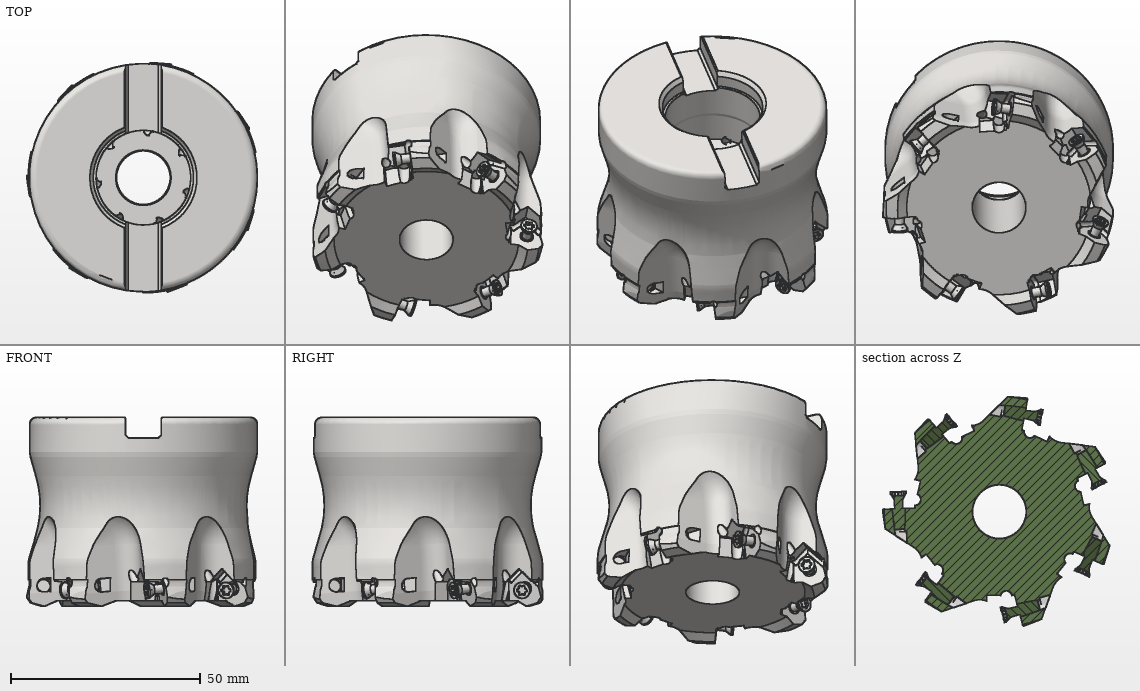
import cadquery as cq
import math


TOOTH_COUNT = 7
TOOTH_PITCH = 360 / TOOTH_COUNT
HEIGHT = 50.0
OUTSIDE = 18.3

COLLAR_RADIUS = 30.15
RIM_FILLET = 1.95
COLLAR_BOTTOM_Z = 40.8
COLLAR_EDGE_RADIUS, COLLAR_EDGE_Z = 29.9, 39.45
NECK_TOP_RADIUS, NECK_TOP_Z = 28.5, 34.5
NECK_RADIUS, NECK_Z = 27.35, 26.85
NECK_END_RADIUS, NECK_END_Z = 28.0, 20.7
FLARE_RADIUS, FLARE_Z = 30.3, 12.65
BAND_RADIUS, BAND_TOP_Z = 30.45, 10.2
BAND_BOTTOM_Z = 7.0
SHOULDER_ARC_RADIUS = 9.15
GROOVE_RADIUS, GROOVE_BOTTOM_Z = 30.2, 5.25
SKIRT_TOP_RADIUS, SKIRT_TOP_Z = 30.35, 4.8
SKIRT_RADIUS, SKIRT_Z = 30.9, 2.45
TOE_RADIUS, TOE_Z = 29.85, 0.9
FOOT_RADIUS = 26.85
UNDERSIDE_RADIUS, UNDERSIDE_Z = 24.4, 1.45

ENTRY_RADIUS, ENTRY_BOTTOM_Z = 13.25, 45.55
ENTRY_CHAMFER, ENTRY_CHAMFER_DEPTH = 0.9, 1.2
BORE_RADIUS = 12.5
BORE_RELIEF_RADIUS = 12.75
BORE_RELIEF_Z = 36.9
BORE_RELIEF_TAPER = 0.9
BORE_FLOOR_Z = 28.1
THROUGH_RADIUS = 7.1
THROUGH_CHAMFER = 0.25

SLOT_WIDTH = 9.35
SLOT_DEPTH = 5.5
SLOT_FLOOR_CHAMFER = 0.75
SLOT_EDGE_CHAMFER = 0.35

FLUTE_TURN = -TOOTH_PITCH
GULLET_RADIUS = 5.0
GULLET_X, GULLET_Y = 18.9, -22.7
BACK_WALL_ANGLE = 70.0
FRONT_WALL_ANGLE = 24.0
FLUTE_TILT = 4.5
FLUTE_RUNOUT_Z = 16.2
FLUTE_RUNOUT_RADIUS = 11.0
FLUTE_RUNOUT_SWEEP = 60.0
FLUTE_FOOT_LENGTH = 12.4
FLUTE_FOOT_TILT = 8.0
FLUTE_FOOT_LEAN = 5.0

SEAT_CENTRE = (5.0, -26.15, 4.7)
SEAT_AXIS = (1.0, 0.27, 0.12)
SEAT_OUTER_WALL = 3.8
SEAT_INNER_WALL = 4.5
SEAT_SIDE_WALL = 4.3
SEAT_LENGTH = 11.0
CORNER_GROOVE_RADIUS = 0.9
CHIP_RELIEF_RADIUS = 1.5
CHIP_RELIEF_X, CHIP_RELIEF_Y = 1.85, -22.5
CHIP_RELIEF_TOP_Z = 7.15
SIDE_WALL_TOP_Y, SIDE_WALL_TOP_Z = -22.8, 6.5
SIDE_WALL_LEAN = 14.0
SIDE_WALL_MOUTH_Y = -27.5
SIDE_WALL_START_X, SIDE_WALL_END_X = -3.3, 3.65

CLEARANCE_ANGLE = -69.0
CLEARANCE_DISTANCE = 30.5

COOLANT_RADIUS = 1.15
COOLANT_START = (-6.65, -10.25, 28.4)
COOLANT_END = (-2.15, -25.5, 5.6)

HEAD_RADIUS = 2.15
HEAD_REACH = 4.45
HEAD_RIM = 0.5
HEAD_TAPER = 1.5
SHANK_RADIUS = 1.3
THREAD_RADIUS = 1.8
THREAD_LENGTH = 5.5
SCREW_HOLE_LENGTH = 11.0
EXIT_WINDOW_DEPTH = 6.1
SOCKET_RADIUS = 1.05
SOCKET_LOBE_RADIUS = 0.35
SOCKET_LOBES = 6
SOCKET_DEPTH = 1.1


def around_axis(shape, index):
    return shape.rotate((0, 0, 0), (0, 0, 1), index * TOOTH_PITCH)


def make_blank():
    """Solid of revolution with the outer profile of the housing."""
    return (
        cq.Workplane("XZ")
        .moveTo(0, HEIGHT)
        .lineTo(COLLAR_RADIUS - RIM_FILLET, HEIGHT)
        .radiusArc((COLLAR_RADIUS, HEIGHT - RIM_FILLET), RIM_FILLET)
        .lineTo(COLLAR_RADIUS, COLLAR_BOTTOM_Z)
        .lineTo(COLLAR_EDGE_RADIUS, COLLAR_EDGE_Z)
        .lineTo(NECK_TOP_RADIUS, NECK_TOP_Z)
        .threePointArc((NECK_RADIUS, NECK_Z), (NECK_END_RADIUS, NECK_END_Z))
        .lineTo(FLARE_RADIUS, FLARE_Z)
        .radiusArc((BAND_RADIUS, BAND_TOP_Z), SHOULDER_ARC_RADIUS)
        .lineTo(BAND_RADIUS, BAND_BOTTOM_Z)
        .lineTo(GROOVE_RADIUS, BAND_BOTTOM_Z)
        .lineTo(GROOVE_RADIUS, GROOVE_BOTTOM_Z)
        .lineTo(SKIRT_TOP_RADIUS, SKIRT_TOP_Z)
        .lineTo(SKIRT_RADIUS, SKIRT_Z)
        .lineTo(TOE_RADIUS, TOE_Z)
        .lineTo(FOOT_RADIUS, 0)
        .lineTo(UNDERSIDE_RADIUS, UNDERSIDE_Z)
        .lineTo(0, UNDERSIDE_Z)
        .close()
        .revolve(360, (0, 0, 0), (0, 1, 0))
    )


def make_bore():
    """Stepped bore: chamfered entry, guiding bore, relief and through hole."""
    return (
        cq.Workplane("XZ")
        .moveTo(0, HEIGHT)
        .lineTo(ENTRY_RADIUS + ENTRY_CHAMFER, HEIGHT)
        .lineTo(ENTRY_RADIUS, HEIGHT - ENTRY_CHAMFER_DEPTH)
        .lineTo(ENTRY_RADIUS, ENTRY_BOTTOM_Z)
        .lineTo(BORE_RADIUS, ENTRY_BOTTOM_Z)
        .lineTo(BORE_RADIUS, BORE_RELIEF_Z)
        .lineTo(BORE_RELIEF_RADIUS, BORE_RELIEF_Z - BORE_RELIEF_TAPER)
        .lineTo(BORE_RELIEF_RADIUS, BORE_FLOOR_Z)
        .lineTo(THROUGH_RADIUS + THROUGH_CHAMFER, BORE_FLOOR_Z)
        .lineTo(THROUGH_RADIUS, BORE_FLOOR_Z - THROUGH_CHAMFER)
        .lineTo(THROUGH_RADIUS, 0)
        .lineTo(0, 0)
        .close()
        .revolve(360, (0, 0, 0), (0, 1, 0))
    )


def make_slot():
    """Driving slot along Y with chamfered floor corners and top edges."""
    half = SLOT_WIDTH / 2
    floor_z = HEIGHT - SLOT_DEPTH
    right_side = [
        (half - SLOT_FLOOR_CHAMFER, floor_z),
        (half, floor_z + SLOT_FLOOR_CHAMFER),
        (half, HEIGHT - SLOT_EDGE_CHAMFER),
        (half + SLOT_EDGE_CHAMFER, HEIGHT),
    ]
    left_side = [(-x, z) for x, z in reversed(right_side)]
    slot_length = 2 * (COLLAR_RADIUS + OUTSIDE)
    return cq.Workplane("XZ").polyline(right_side + left_side).close().extrude(slot_length / 2, both=True)


def flute_section(plane, open_y):
    """Cross-section of a flute around the gullet centre, open toward its local -Y."""
    back = math.radians(BACK_WALL_ANGLE)
    front = math.radians(FRONT_WALL_ANGLE)
    back_tangent = (-GULLET_RADIUS * math.sin(back), GULLET_RADIUS * math.cos(back))
    front_tangent = (GULLET_RADIUS * math.sin(front), GULLET_RADIUS * math.cos(front))
    back_x = back_tangent[0] - (back_tangent[1] - open_y) / math.tan(back)
    front_length = GULLET_RADIUS
    front_end = (
        front_tangent[0] + front_length * math.cos(front),
        front_tangent[1] - front_length * math.sin(front),
    )
    return (
        cq.Workplane(plane)
        .moveTo(back_x, open_y)
        .lineTo(*back_tangent)
        .threePointArc((0, GULLET_RADIUS), front_tangent)
        .lineTo(*front_end)
        .lineTo(front_end[0], open_y)
        .close()
    )


def make_flute():
    """Cutting shape of one flute: straight stretch, curved run-out above it, steeper foot below it."""
    tilt = math.radians(FLUTE_TILT)
    foot_tilt = math.tan(math.radians(FLUTE_FOOT_TILT))
    foot_lean = math.tan(math.radians(FLUTE_FOOT_LEAN))
    up = cq.Vector(0, -math.sin(tilt), math.cos(tilt))
    top = cq.Vector(GULLET_X, GULLET_Y, FLUTE_RUNOUT_Z)
    foot = top - up * FLUTE_FOOT_LENGTH
    straight = flute_section(cq.Plane(top, (1, 0, 0), up), -OUTSIDE).extrude(-FLUTE_FOOT_LENGTH)
    pivot_y = GULLET_RADIUS - FLUTE_RUNOUT_RADIUS
    run_out = flute_section(cq.Plane(top, (1, 0, 0), up), pivot_y).revolve(
        FLUTE_RUNOUT_SWEEP, (0, pivot_y, 0), (1, pivot_y, 0)
    )
    foot_up = cq.Vector(foot_lean, -foot_tilt, 1)
    bottom = foot - foot_up * (foot.z + 0.6)
    path = cq.Workplane(cq.Plane.XY()).polyline([foot.toTuple(), bottom.toTuple()])
    lower = flute_section(cq.Plane(foot, (1, 0, 0), up), -OUTSIDE).sweep(path)
    return straight.union(run_out).union(lower).rotate((0, 0, 0), (0, 0, 1), FLUTE_TURN)


def seat_plane():
    """Plane of the seat: local X points outward, local Y upward, the normal out of the seat."""
    normal = cq.Vector(*SEAT_AXIS) * -1
    outward = cq.Vector(0, 0, 1).cross(normal)
    return cq.Plane(SEAT_CENTRE, outward, normal)


def seat_corners():
    """Corners of the pocket's upper walls in the seat plane: inner side, apex and far outer end."""
    outer_offset = SEAT_OUTER_WALL * math.sqrt(2)
    inner_offset = SEAT_INNER_WALL * math.sqrt(2)
    side_top = (-SEAT_SIDE_WALL, inner_offset - SEAT_SIDE_WALL)
    apex = ((outer_offset - inner_offset) / 2, (outer_offset + inner_offset) / 2)
    outer_end = (OUTSIDE, outer_offset - OUTSIDE)
    return side_top, apex, outer_end


def make_seat():
    """Pocket for a square insert standing on its corner, open below and outward."""
    side_top, apex, outer_end = seat_corners()
    side_bottom = (-SEAT_SIDE_WALL, outer_end[1])
    corners = [side_top, apex, outer_end, side_bottom]
    return cq.Workplane(seat_plane()).polyline(corners).close().extrude(SEAT_LENGTH)


def make_side_wall():
    """Opening below the pocket whose inner wall leans inward toward the bottom."""
    bottom_y = SIDE_WALL_TOP_Y + SIDE_WALL_TOP_Z * math.tan(math.radians(SIDE_WALL_LEAN))
    corners = [
        (SIDE_WALL_TOP_Y, SIDE_WALL_TOP_Z),
        (bottom_y, 0),
        (SIDE_WALL_MOUTH_Y, 0),
        (SIDE_WALL_MOUTH_Y, SIDE_WALL_TOP_Z),
    ]
    opening = cq.Workplane("YZ").polyline(corners).close().extrude(SIDE_WALL_END_X - SIDE_WALL_START_X)
    return opening.translate((SIDE_WALL_START_X, 0, 0))


def make_corner_grooves():
    """Relief grooves along the lines where the two upper walls of the pocket meet the seat."""
    plane = seat_plane()
    side_top, apex, outer_end = [plane.toWorldCoords(corner) for corner in seat_corners()]
    grooves = cq.Workplane(cq.Solid.makeSphere(CORNER_GROOVE_RADIUS, apex, angleDegrees1=-90))
    for end in (side_top, outer_end):
        run = end - apex
        groove = cq.Solid.makeCylinder(CORNER_GROOVE_RADIUS, run.Length, apex, run)
        grooves = grooves.union(cq.Workplane(groove))
    return grooves


def make_chip_relief():
    """Upright round relief between the inner wall and the seat."""
    return (
        cq.Workplane("XY")
        .center(CHIP_RELIEF_X, CHIP_RELIEF_Y)
        .circle(CHIP_RELIEF_RADIUS)
        .extrude(CHIP_RELIEF_TOP_Z)
    )


def make_clearance():
    """Flat that takes the skirt down behind the seat, away from the cutting edge."""
    return (
        cq.Workplane("XY")
        .center(CLEARANCE_DISTANCE + OUTSIDE / 2, 0)
        .rect(OUTSIDE, OUTSIDE)
        .extrude(SKIRT_TOP_Z)
        .rotate((0, 0, 0), (0, 0, 1), CLEARANCE_ANGLE)
    )


def make_coolant_passage():
    start = cq.Vector(*COOLANT_START)
    run = cq.Vector(*COOLANT_END) - start
    return cq.Workplane(cq.Solid.makeCylinder(COOLANT_RADIUS, run.Length, start, run))


def make_screw_hole():
    """Hole through the tooth behind the seat, with a squared inner side at its far end."""
    hole = cq.Workplane(seat_plane()).circle(THREAD_RADIUS).extrude(-SCREW_HOLE_LENGTH)
    exit_window = (
        cq.Workplane(seat_plane())
        .workplane(offset=-EXIT_WINDOW_DEPTH)
        .center(-THREAD_RADIUS / 2, 0)
        .rect(THREAD_RADIUS, 2 * THREAD_RADIUS)
        .extrude(EXIT_WINDOW_DEPTH - SCREW_HOLE_LENGTH)
    )
    return hole.union(exit_window)


def make_housing():
    housing = make_blank().cut(make_bore()).cut(make_slot())
    cutters = (
        make_flute(),
        make_seat(),
        make_side_wall(),
        make_corner_grooves(),
        make_chip_relief(),
        make_clearance(),
        make_coolant_passage(),
        make_screw_hole(),
    )
    for index in range(TOOTH_COUNT):
        for cutter in cutters:
            housing = housing.cut(around_axis(cutter, index))
    return housing


def make_screw():
    """Countersunk screw with a lobed socket, threaded into the seat and standing out of it."""
    plane = seat_plane()
    taper_start = HEAD_REACH - HEAD_RIM
    thread = cq.Workplane(plane).circle(THREAD_RADIUS).extrude(-THREAD_LENGTH)
    shank = cq.Workplane(plane).circle(SHANK_RADIUS).extrude(taper_start)
    rim = cq.Workplane(plane).workplane(offset=taper_start).circle(HEAD_RADIUS).extrude(HEAD_RIM)
    taper = cq.Workplane(
        cq.Solid.makeCone(
            SHANK_RADIUS,
            HEAD_RADIUS,
            HEAD_TAPER,
            plane.toWorldCoords((0, 0, taper_start - HEAD_TAPER)),
            plane.zDir,
        )
    )
    head = cq.Workplane(plane).workplane(offset=HEAD_REACH)
    socket = head.circle(SOCKET_RADIUS).extrude(-SOCKET_DEPTH)
    lobes = (
        head.polarArray(SOCKET_RADIUS, 0, 360, SOCKET_LOBES).circle(SOCKET_LOBE_RADIUS).extrude(-SOCKET_DEPTH)
    )
    return thread.union(shank).union(taper).union(rim).cut(socket).cut(lobes)


housing = make_housing()
screw = make_screw()
screws = [around_axis(screw, index).solids().val() for index in range(TOOTH_COUNT)]

result = cq.Compound.makeCompound([housing.solids().val(), *screws])